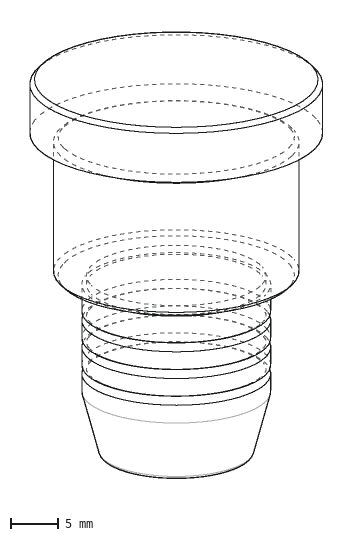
import cadquery as cq
import math

head_radius = 15.5
head_height = 6.0
body_radius = 13.0
body_length = 16.0
edge_chamfer = 0.5

neck_radius = 9.5
neck_length = 1.0
shank_radius = 10.0
shank_length = 12.0
taper_length = 7.0
taper_angle = 15.0
tip_fillet = 0.5

groove_radius = 0.5
groove_count = 3
groove_pitch = 3.0
first_groove_offset = 3.5

body_bottom = -body_length
shank_top = body_bottom - neck_length
shank_bottom = shank_top - shank_length
tip_bottom = shank_bottom - taper_length
tip_radius = shank_radius - taper_length * math.tan(math.radians(taper_angle))


def cylinder(radius, bottom, top):
    return cq.Workplane("XY").workplane(offset=bottom).circle(radius).extrude(top - bottom)


def groove_ring(wall_radius, center_height):
    """Ring that cuts a semicircular groove around a cylinder."""
    section = cq.Workplane("XZ").center(wall_radius, center_height).circle(groove_radius)
    return section.revolve(360, (-wall_radius, 0, 0), (-wall_radius, 1, 0))


def make_head():
    return cylinder(head_radius, 0, head_height).faces(">Z").edges().chamfer(edge_chamfer)


def make_body():
    body = cylinder(body_radius, body_bottom, 0).faces("<Z").edges().chamfer(edge_chamfer)
    return body.cut(groove_ring(body_radius, -groove_radius))


def make_shank():
    profile = [
        (0, body_bottom),
        (neck_radius, body_bottom),
        (neck_radius, shank_top),
        (shank_radius, shank_top),
        (shank_radius, shank_bottom),
        (tip_radius, tip_bottom),
        (0, tip_bottom),
    ]
    shank = cq.Workplane("XZ").polyline(profile).close().revolve(360, (0, 0, 0), (0, 1, 0))
    shank = shank.faces("<Z").edges().fillet(tip_fillet)
    for index in range(groove_count):
        center_height = shank_top - first_groove_offset - index * groove_pitch
        shank = shank.cut(groove_ring(shank_radius, center_height))
    return shank


result = make_head().union(make_body()).union(make_shank())